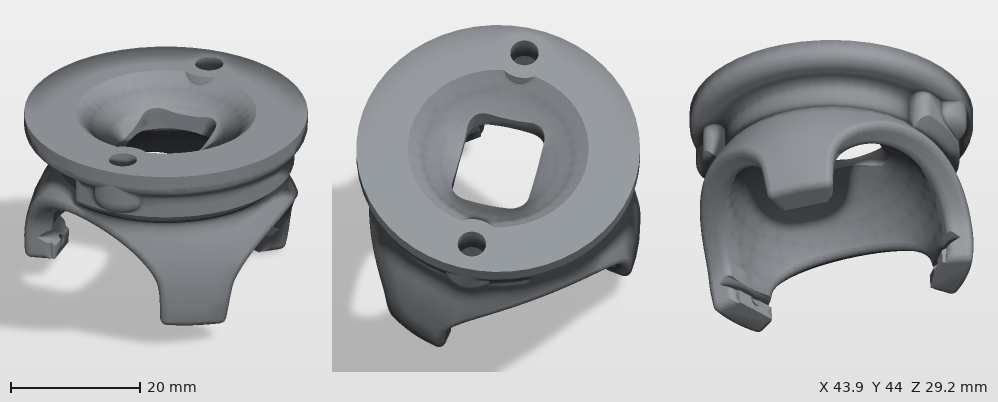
import cadquery as cq
import math


flange_radius = 21.95
flange_thickness = 3.95
flange_round = 1.95
neck_radius = 16.72
neck_round = 1.3

collar_radius = 19.9
collar_straight_bottom = -8.1
collar_drop = 2.05
collar_core_radius = neck_radius - 2.2
collar_gap_centre = 207.3
collar_gap_half = 62.4
collar_end_round = 1.75

claw_centre_z = -23.05
claw_outer_radius = 22.05
claw_inner_radius = 17.9
claw_tilt = 5.0
leg_angles = (90.0, 210.0, 330.0)
leg_bottom = -4.35
leg_round = 1.1

opening_half_width = 15.5
opening_height = 9.8
opening_skirt = 7.05
opening_steps = 12
opening_near = 4.4
opening_far = 26.4
opening_offset_angle = 60.0

pad_radius = 16.7
pad_top = -1.3
pad_width = 7.05
pad_depth = 2.65

groove_top = 0.7
groove_root_radius = 19.28
groove_root_z = -0.45
groove_bottom = -2.05
groove_width = 17.6
groove_reach = 2.2
dimple_diameter = 1.9
dimple_z = -2.45

dish_rim_radius = 14.0
dish_sphere_radius = 19.35
window_length = 15.62
window_width = 12.15
window_corner = 2.65
window_angle = 115.0

magnet_diameter = 4.4
magnet_offset = 17.45
magnet_depth = 4.85
magnet_wall_flare = 18.0
magnet_angles = (window_angle, window_angle + 180.0)

boss_radius = 4.45
boss_bottom = -7.7
boss_round = 2.2


def at_angle(radius, degrees):
    """Point on a circle around the Z axis."""
    angle = math.radians(degrees)
    return radius * math.cos(angle), radius * math.sin(angle)


def turned(shape, degrees):
    """Shape turned about the Z axis."""
    return shape.rotate((0, 0, 0), (0, 0, 1), degrees)


def sphere_height(radius):
    """Z on the upper half of the claw's outer sphere at a distance from the axis."""
    return claw_centre_z + math.sqrt(claw_outer_radius**2 - radius**2)


def make_flange_and_neck():
    flange = cq.Workplane("XY").circle(flange_radius).extrude(-flange_thickness)
    flange = flange.faces("<Z").edges().fillet(flange_round)
    neck = cq.Workplane("XY").circle(neck_radius).extrude(sphere_height(neck_radius))
    head = flange.union(neck)
    root = cq.selectors.RadiusNthSelector(0)
    return head.faces("<Z[1]").edges(root).fillet(neck_round)


def make_collar():
    """Part-turn ring with a sloping underside that runs into the claw."""
    top = -flange_thickness / 2
    bottom = collar_straight_bottom - collar_drop
    profile = [
        (collar_core_radius, top),
        (collar_radius, top),
        (collar_radius, collar_straight_bottom),
        (collar_radius - collar_drop, bottom),
        (collar_core_radius, bottom),
    ]
    sweep = 360.0 - 2 * collar_gap_half
    collar = cq.Workplane("XZ").polyline(profile).close().revolve(sweep, (0, 0), (0, 1))
    upright = cq.selectors.ParallelDirSelector(cq.Vector(0, 0, 1))
    core_reach = collar_core_radius + 0.45
    core = cq.selectors.BoxSelector((-core_reach,) * 3, (core_reach,) * 3)
    outer_corners = cq.selectors.SubtractSelector(upright, core)
    collar = collar.edges(outer_corners).fillet(collar_end_round)
    return turned(collar, collar_gap_centre + collar_gap_half)


def make_bosses():
    places = [at_angle(magnet_offset, angle) for angle in magnet_angles]
    bosses = cq.Workplane("XY").pushPoints(places).circle(boss_radius).extrude(boss_bottom)
    bosses = bosses.faces("<Z").edges().fillet(boss_round)
    limit = cq.Workplane("XY").circle(flange_radius).extrude(boss_bottom)
    return bosses.intersect(limit)


def make_opening():
    """Arched opening facing +X whose walls all point at the ball centre."""
    rim = [(opening_half_width, -opening_skirt)]
    for step in range(opening_steps + 1):
        turn = math.pi * step / opening_steps
        rim.append((opening_half_width * math.cos(turn), opening_height * math.sin(turn)))
    rim.append((-opening_half_width, -opening_skirt))

    slopes = []
    for across, up in rim:
        outward = math.sqrt(claw_outer_radius**2 - across**2 - up**2)
        slopes.append((across / outward, up / outward))

    opening = cq.Workplane("YZ").workplane(offset=opening_near)
    opening = opening.spline([(u * opening_near, v * opening_near) for u, v in slopes]).close()
    opening = opening.workplane(offset=opening_far - opening_near)
    opening = opening.spline([(u * opening_far, v * opening_far) for u, v in slopes]).close()
    return opening.loft(ruled=True)


def make_shell():
    """Spherical shell with its openings cut and its edges rounded, centred on the ball."""
    shell = cq.Workplane("XY").sphere(claw_outer_radius)
    shell = shell.cut(cq.Workplane("XY").sphere(claw_inner_radius))
    shell = turned(shell, leg_angles[0])
    floor = cq.Workplane("XY").workplane(offset=leg_bottom).circle(2 * claw_outer_radius)
    shell = shell.cut(floor.extrude(-claw_outer_radius))
    for angle in leg_angles:
        shell = shell.cut(turned(make_opening(), angle + opening_offset_angle))
    largest = cq.selectors.RadiusNthSelector(-1)
    outer_foot_edges = shell.faces("<Z").edges("%CIRCLE").edges(largest)
    return shell.edges("%BSPLINE").add(outer_foot_edges).fillet(leg_round)


def make_pad():
    """Flat pad on the inside of the +X facing leg tip."""
    pad = cq.Workplane("XY", origin=(pad_radius + pad_depth / 2, 0, leg_bottom))
    return pad.rect(pad_depth, pad_width).extrude(pad_top - leg_bottom)


def make_groove():
    """Undercut across the inside of the +X facing leg, above its pad."""
    inside = claw_inner_radius - groove_reach
    profile = [
        (inside, groove_top),
        (claw_inner_radius, groove_top),
        (groove_root_radius, groove_root_z),
        (pad_radius, groove_bottom),
        (inside, groove_bottom),
    ]
    return cq.Workplane("XZ").polyline(profile).close().extrude(groove_width / 2, both=True)


def make_dimple():
    """Round dimple in the pad of the +X facing leg."""
    return cq.Workplane("XY").sphere(dimple_diameter / 2).translate((pad_radius, 0, dimple_z))


def make_claw():
    claw = make_shell()
    for angle in leg_angles:
        claw = claw.union(turned(make_pad(), angle))
        claw = claw.cut(turned(make_groove(), angle))
        claw = claw.cut(turned(make_dimple(), angle))
    return claw


def place_claw(claw):
    """Tip the claw so that the +Y leg reaches lowest, then lower it into position."""
    return claw.rotate((0, 0, 0), (1, 0, 0), -claw_tilt).translate((0, 0, claw_centre_z))


def make_dish():
    """Spherical bowl, kept clear of the flared wall around each magnet pocket."""
    centre_z = math.sqrt(dish_sphere_radius**2 - dish_rim_radius**2)
    dish = cq.Workplane("XY").sphere(dish_sphere_radius).translate((0, 0, centre_z))
    for angle in magnet_angles:
        wall = cq.Workplane("XY").center(*at_angle(magnet_offset, angle)).circle(boss_radius)
        dish = dish.cut(wall.extrude(-flange_thickness, taper=-magnet_wall_flare))
    return dish


def make_window():
    window = cq.Workplane("XY").rect(window_length, window_width).extrude(claw_centre_z)
    window = window.edges("|Z").fillet(window_corner)
    return turned(window, window_angle)


def make_magnet_pockets():
    places = [at_angle(magnet_offset, angle) for angle in magnet_angles]
    return cq.Workplane("XY").pushPoints(places).circle(magnet_diameter / 2).extrude(-magnet_depth)


shell_mid_radius = (claw_inner_radius + claw_outer_radius) / 2
cavity = place_claw(cq.Workplane("XY").sphere(shell_mid_radius))
head = make_flange_and_neck().union(make_collar()).union(make_bosses()).cut(cavity)
result = head.union(place_claw(make_claw()))
result = result.cut(make_dish()).cut(make_window()).cut(make_magnet_pockets())